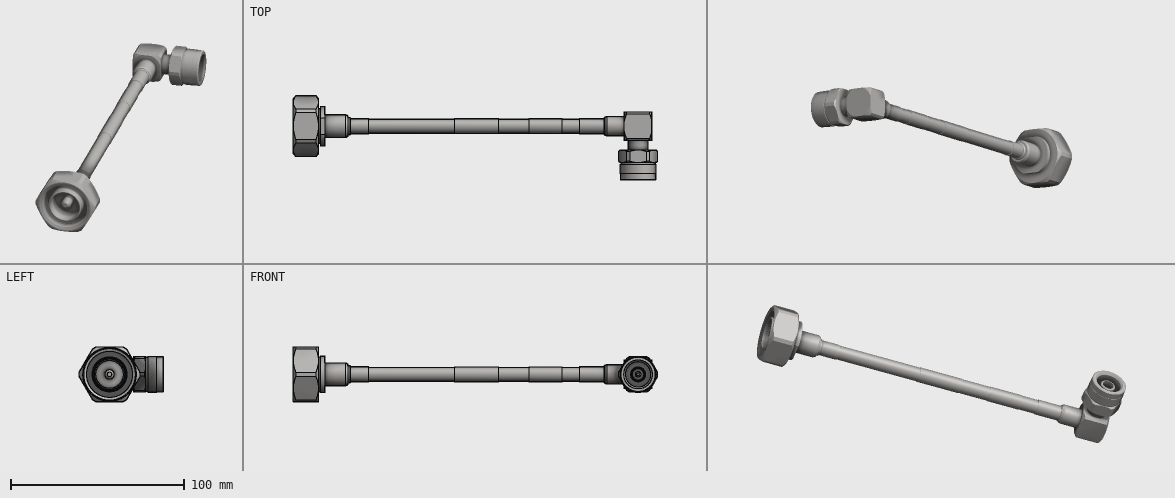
import cadquery as cq
import math


HEX_SIDES = 6
HEX_HALF_SECTOR = math.pi / HEX_SIDES
HEX_CHAMFER_SLOPE = 0.8

NUT_ACROSS_FLATS = 31.75
NUT_LENGTH = 14.9
NUT_CORNER_TRIM = 0.7
NUT_FRONT_FACE_RADIUS = 15.5
NUT_REAR_FACE_RADIUS = 15.8
NUT_MOUTH_RADIUS = 14.9
NUT_MOUTH_DEPTH = 0.7
NUT_THREAD_RADIUS = 14.3
NUT_BORE_RADIUS = 13.3
NUT_THREAD_PITCH = 1.5
NUT_THREAD_COUNT = 6
NUT_WALL = 3.5

NECK_RADIUS = 10.1
FLANGE_START = 15.9
FLANGE_LENGTH = 2.6
FLANGE_RADIUS = 11.5
FLANGE_ACROSS_FLATS = 21.0
BARREL_RADIUS = 6.65
BARREL_CHAMFER_START = 30.5
BARREL_END = 31.8
BARREL_END_RADIUS = 6.0
BODY_END = 33.4
TUBE_START = 0.5
TUBE_RADIUS = 9.7
TUBE_BORE_RADIUS = 8.8
TUBE_RIM_CHAMFER = 0.5
TUBE_FLOOR = 11.5
INSULATOR_RADIUS = 8.0
INSULATOR_START = 10.5
NECK_START = 9.5
PIN_START = 2.2
PIN_RADIUS = 2.7
PIN_TIP_CHAMFER = 1.4

CABLE_RADIUS = 4.1
SLEEVE_RADIUS = 4.4
BAND_RADIUS = 4.3
LEFT_SLEEVE_LENGTH = 10.4
RIGHT_SLEEVE_LENGTH = 14.0
WIDE_BAND_START = 93.4
WIDE_BAND_LENGTH = 25.4
NARROW_BAND_START = 136.4
NARROW_BAND_LENGTH = 19.05

ELBOW_X = 199.32
BLOCK_LENGTH = 16.0
BLOCK_WIDTH = 16.5
BLOCK_EDGE_CHAMFER = 1.2
BLOCK_END_RADIUS = 8.7
BLOCK_CHAMFER_SLOPE = 0.6
CABLE_END = 179.5
ELBOW_BARREL_START = 180.3
ELBOW_BARREL_CHAMFER_END = 181.4
ELBOW_BARREL_END_RADIUS = 5.3
ELBOW_BARREL_RADIUS = 5.68
CRIMP_LIP_RADIUS = 5.05
CRIMP_LIP_CHAMFER = 0.5
OUTLET_RADIUS = 5.8
OUTLET_FLANGE_END = 22.1
OUTLET_TUBE_RADIUS = 4.3
OUTLET_RIM_CHAMFER = 0.4
OUTLET_BORE_RADIUS = 3.3
OUTLET_TUBE_END = 29.0
OUTLET_FLOOR = 22.5
OUTLET_PIN_RADIUS = 1.6
OUTLET_PIN_TIP_CHAMFER = 0.8
OUTLET_PIN_END = 26.5

SMALL_ACROSS_FLATS = 20.64
SMALL_CORNER_TRIM = 0.6
SMALL_HEX_START = 13.9
SMALL_HEX_END = 20.9
SMALL_HEX_FACE_RADIUS = 10.5
SMALL_GROOVE_RADIUS = 10.0
SMALL_SLEEVE_START = 22.1
SMALL_STEP = 27.2
SMALL_SLEEVE_RADIUS = 10.45
SMALL_FRONT_RADIUS = 10.3
SMALL_NUT_END = 31.15
SMALL_END_CHAMFER = 0.4
SMALL_BORE_RADIUS = 7.3
SMALL_MOUTH_CHAMFER = 1.0
SMALL_WALL_END = 20.0


def turned(profile):
    """Solid turned about the X axis from (x, radius) points."""
    return cq.Workplane("XZ").polyline(profile).close().revolve(360, (0, 0, 0), (1, 0, 0))


def rod(start, end, radius):
    return turned([(start, 0), (end, 0), (end, radius), (start, radius)])


def tube(start, end, radius, bore):
    return rod(start, end, radius).cut(rod(start, end, bore))


def end_cones(start, end, start_radius, end_radius, slope, reach):
    """Envelope that bevels the corners of a bar at both ends."""
    start_depth = (reach - start_radius) * slope
    end_depth = (reach - end_radius) * slope
    return turned([
        (start, 0),
        (start, start_radius),
        (start + start_depth, reach),
        (end - end_depth, reach),
        (end, end_radius),
        (end, 0),
    ])


def corner_radius(across_flats):
    return across_flats / 2 / math.cos(HEX_HALF_SECTOR)


def hexagon(start, end, across_flats):
    """Hexagonal bar along X with corners on +Y and -Y."""
    diameter = 2 * corner_radius(across_flats)
    return cq.Workplane("YZ", origin=(start, 0, 0)).polygon(HEX_SIDES, diameter).extrude(end - start)


def nut_blank(start, end, across_flats, corner_trim, start_radius, end_radius):
    """Hexagonal bar with a small flat on each corner and a cone at both ends."""
    reach = corner_radius(across_flats)
    trim = hexagon(start, end, 2 * (reach - corner_trim)).rotate(
        (0, 0, 0), (1, 0, 0), math.degrees(HEX_HALF_SECTOR)
    )
    cones = end_cones(start, end, start_radius, end_radius, HEX_CHAMFER_SLOPE, reach)
    return hexagon(start, end, across_flats).intersect(trim).intersect(cones)


def to_outlet(shape):
    """Move a shape built along +X onto the side outlet, which points along -Y."""
    return shape.rotate((0, 0, 0), (0, 0, 1), -90).translate((ELBOW_X, 0, 0))


def make_large_nut():
    nut = nut_blank(
        0, NUT_LENGTH, NUT_ACROSS_FLATS, NUT_CORNER_TRIM, NUT_FRONT_FACE_RADIUS, NUT_REAR_FACE_RADIUS
    )
    bore_end = NUT_LENGTH - NUT_WALL
    thread = []
    for turn in range(NUT_THREAD_COUNT):
        crest = NUT_MOUTH_DEPTH + turn * NUT_THREAD_PITCH
        thread.append((crest, NUT_BORE_RADIUS))
        thread.append((crest + NUT_THREAD_PITCH / 2, NUT_THREAD_RADIUS))
    thread_end = NUT_MOUTH_DEPTH + NUT_THREAD_COUNT * NUT_THREAD_PITCH
    bore = turned([
        (0, 0),
        (0, NUT_MOUTH_RADIUS),
        *thread,
        (thread_end, NUT_BORE_RADIUS),
        (bore_end, NUT_BORE_RADIUS),
        (bore_end, NECK_RADIUS),
        (NUT_LENGTH, NECK_RADIUS),
        (NUT_LENGTH, 0),
    ])
    return nut.cut(bore)


def make_large_body():
    flange_end = FLANGE_START + FLANGE_LENGTH
    flange = rod(FLANGE_START, flange_end, FLANGE_RADIUS).intersect(
        cq.Workplane("XY")
        .box(FLANGE_LENGTH, 2 * FLANGE_RADIUS, FLANGE_ACROSS_FLATS)
        .translate((FLANGE_START + FLANGE_LENGTH / 2, 0, 0))
    )
    shell = turned([
        (TUBE_START, TUBE_BORE_RADIUS),
        (TUBE_START, TUBE_RADIUS - TUBE_RIM_CHAMFER),
        (TUBE_START + TUBE_RIM_CHAMFER, TUBE_RADIUS),
        (NECK_START, TUBE_RADIUS),
        (NECK_START, NECK_RADIUS),
        (FLANGE_START, NECK_RADIUS),
        (FLANGE_START, BARREL_RADIUS),
        (BARREL_CHAMFER_START, BARREL_RADIUS),
        (BARREL_END, BARREL_END_RADIUS),
        (BARREL_END, CRIMP_LIP_RADIUS),
        (BODY_END - CRIMP_LIP_CHAMFER, CRIMP_LIP_RADIUS),
        (BODY_END, CRIMP_LIP_RADIUS - CRIMP_LIP_CHAMFER),
        (BODY_END, 0),
        (INSULATOR_START, 0),
        (INSULATOR_START, INSULATOR_RADIUS),
        (TUBE_FLOOR, INSULATOR_RADIUS),
        (TUBE_FLOOR, TUBE_BORE_RADIUS),
    ])
    pin = turned([
        (PIN_START, 0),
        (PIN_START, PIN_RADIUS - PIN_TIP_CHAMFER),
        (PIN_START + PIN_TIP_CHAMFER, PIN_RADIUS),
        (TUBE_FLOOR, PIN_RADIUS),
        (TUBE_FLOOR, 0),
    ])
    return shell.union(flange).union(pin)


def make_elbow():
    half = BLOCK_LENGTH / 2
    block_start = ELBOW_X - half
    block_end = ELBOW_X + half
    bevels = end_cones(
        block_start, block_end, BLOCK_END_RADIUS, BLOCK_END_RADIUS, BLOCK_CHAMFER_SLOPE, BLOCK_WIDTH
    )
    block = (
        cq.Workplane("XY")
        .box(BLOCK_LENGTH, BLOCK_WIDTH, BLOCK_WIDTH)
        .edges("|X")
        .chamfer(BLOCK_EDGE_CHAMFER)
        .translate((ELBOW_X, 0, 0))
        .intersect(bevels)
    )
    cable_entry = turned([
        (CABLE_END, 0),
        (CABLE_END, CRIMP_LIP_RADIUS - CRIMP_LIP_CHAMFER),
        (CABLE_END + CRIMP_LIP_CHAMFER, CRIMP_LIP_RADIUS),
        (ELBOW_BARREL_START, CRIMP_LIP_RADIUS),
        (ELBOW_BARREL_START, ELBOW_BARREL_END_RADIUS),
        (ELBOW_BARREL_CHAMFER_END, ELBOW_BARREL_RADIUS),
        (ELBOW_X, ELBOW_BARREL_RADIUS),
        (ELBOW_X, 0),
    ])
    outlet = turned([
        (0, 0),
        (0, OUTLET_RADIUS),
        (SMALL_WALL_END, OUTLET_RADIUS),
        (SMALL_WALL_END, SMALL_BORE_RADIUS),
        (OUTLET_FLANGE_END, SMALL_BORE_RADIUS),
        (OUTLET_FLANGE_END, OUTLET_TUBE_RADIUS),
        (OUTLET_TUBE_END - OUTLET_RIM_CHAMFER, OUTLET_TUBE_RADIUS),
        (OUTLET_TUBE_END, OUTLET_TUBE_RADIUS - OUTLET_RIM_CHAMFER),
        (OUTLET_TUBE_END, OUTLET_BORE_RADIUS),
        (OUTLET_FLOOR, OUTLET_BORE_RADIUS),
        (OUTLET_FLOOR, OUTLET_PIN_RADIUS),
        (OUTLET_PIN_END - OUTLET_PIN_TIP_CHAMFER, OUTLET_PIN_RADIUS),
        (OUTLET_PIN_END, OUTLET_PIN_RADIUS - OUTLET_PIN_TIP_CHAMFER),
        (OUTLET_PIN_END, 0),
    ])
    return block.union(cable_entry).union(to_outlet(outlet))


def make_small_nut():
    grip = nut_blank(
        SMALL_HEX_START, SMALL_HEX_END, SMALL_ACROSS_FLATS, SMALL_CORNER_TRIM,
        SMALL_HEX_FACE_RADIUS, SMALL_HEX_FACE_RADIUS,
    )
    sleeve = turned([
        (SMALL_HEX_END, 0),
        (SMALL_HEX_END, SMALL_GROOVE_RADIUS),
        (SMALL_SLEEVE_START, SMALL_GROOVE_RADIUS),
        (SMALL_SLEEVE_START, SMALL_SLEEVE_RADIUS),
        (SMALL_STEP, SMALL_SLEEVE_RADIUS),
        (SMALL_STEP, SMALL_FRONT_RADIUS),
        (SMALL_NUT_END - SMALL_END_CHAMFER, SMALL_FRONT_RADIUS),
        (SMALL_NUT_END, SMALL_FRONT_RADIUS - SMALL_END_CHAMFER),
        (SMALL_NUT_END, 0),
    ])
    bore = turned([
        (SMALL_HEX_START, 0),
        (SMALL_HEX_START, OUTLET_RADIUS),
        (SMALL_WALL_END, OUTLET_RADIUS),
        (SMALL_WALL_END, SMALL_BORE_RADIUS),
        (SMALL_NUT_END - SMALL_MOUTH_CHAMFER, SMALL_BORE_RADIUS),
        (SMALL_NUT_END, SMALL_BORE_RADIUS + SMALL_MOUTH_CHAMFER),
        (SMALL_NUT_END, 0),
    ])
    return to_outlet(grip.union(sleeve).cut(bore))


large_nut = make_large_nut()
large_body = make_large_body()
cable = rod(BODY_END, CABLE_END, CABLE_RADIUS)
end_sleeves = [
    tube(BODY_END, BODY_END + LEFT_SLEEVE_LENGTH, SLEEVE_RADIUS, CABLE_RADIUS),
    tube(CABLE_END - RIGHT_SLEEVE_LENGTH, CABLE_END, SLEEVE_RADIUS, CABLE_RADIUS),
]
bands = [
    tube(start, start + length, BAND_RADIUS, CABLE_RADIUS)
    for start, length in (
        (WIDE_BAND_START, WIDE_BAND_LENGTH),
        (NARROW_BAND_START, NARROW_BAND_LENGTH),
    )
]
elbow = make_elbow()
small_nut = make_small_nut()

result = cq.Compound.makeCompound([
    large_nut.val(),
    large_body.val(),
    cable.val(),
    *[sleeve.val() for sleeve in end_sleeves],
    *[band.val() for band in bands],
    elbow.val(),
    small_nut.val(),
])